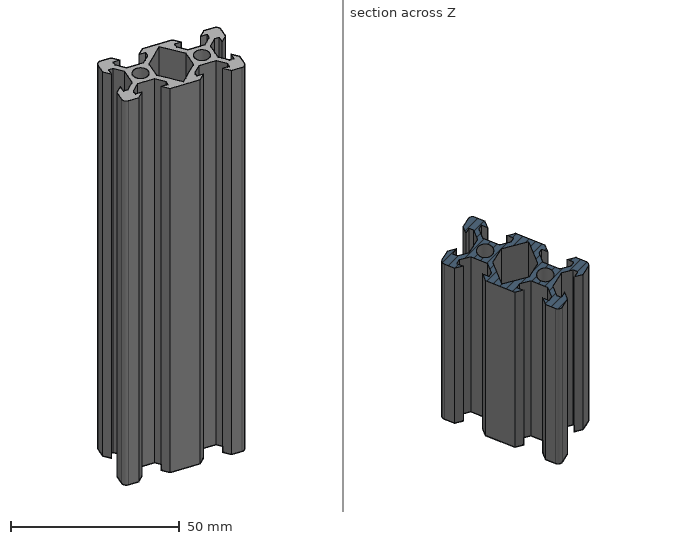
import cadquery as cq
import math

MODULE = 20.0
MODULE_COUNT = 2
LENGTH = 150.0
CORNER_RADIUS = 1.5

CORE_HALF = 4.0
BORE_DIAMETER = 5.0
RIB_THICKNESS = 1.75
POCKET_HALF = 5.3
MOUTH_HALF = 5.1
LIP_DEPTH = 2.0

HALF_MODULE = MODULE / 2
STACK_LENGTH = MODULE * MODULE_COUNT
RIB_OFFSET = RIB_THICKNESS / math.sqrt(2)
FLAT_HALF = CORE_HALF - RIB_OFFSET
THROAT_HALF = MOUTH_HALF - LIP_DEPTH
MODULE_CENTRES = [(i - (MODULE_COUNT - 1) / 2) * MODULE for i in range(MODULE_COUNT)]

FACING_PLUS_X = 0
FACING_MINUS_X = 180
FACING_PLUS_Y = 90
FACING_MINUS_Y = -90


def make_bar():
    """Solid rectangular bar with rounded outer edges."""
    bar = cq.Workplane("XY").rect(MODULE, STACK_LENGTH).extrude(LENGTH)
    return bar.edges("|Z").fillet(CORNER_RADIUS)


def make_slot(centre_y, direction):
    """Full-length V-slot cutter in one face of the module centred at centre_y."""
    lip_back = HALF_MODULE - LIP_DEPTH
    upper_half = [
        (CORE_HALF, FLAT_HALF),
        (POCKET_HALF + RIB_OFFSET, POCKET_HALF),
        (lip_back, POCKET_HALF),
        (lip_back, THROAT_HALF),
        (HALF_MODULE, MOUTH_HALF),
    ]
    lower_half = [(x, -y) for x, y in reversed(upper_half)]
    slot = cq.Workplane("XY").polyline(upper_half + lower_half).close().extrude(LENGTH)
    return slot.rotate((0, 0, 0), (0, 0, 1), direction).translate((0, centre_y, 0))


def make_bore(centre_y):
    """Round bore along the axis of one module."""
    return cq.Workplane("XY").center(0, centre_y).circle(BORE_DIAMETER / 2).extrude(LENGTH)


def make_cavity():
    """Hexagonal cavity between the two cores, bounded by the diagonal ribs."""
    flat_y = HALF_MODULE - CORE_HALF
    point_x = HALF_MODULE - RIB_OFFSET
    outline = [
        (point_x, 0),
        (FLAT_HALF, flat_y),
        (-FLAT_HALF, flat_y),
        (-point_x, 0),
        (-FLAT_HALF, -flat_y),
        (FLAT_HALF, -flat_y),
    ]
    return cq.Workplane("XY").polyline(outline).close().extrude(LENGTH)


result = make_bar().cut(make_cavity())

for module_y in MODULE_CENTRES:
    result = result.cut(make_bore(module_y))
    for side in (FACING_PLUS_X, FACING_MINUS_X):
        result = result.cut(make_slot(module_y, side))

result = result.cut(make_slot(MODULE_CENTRES[0], FACING_MINUS_Y))
result = result.cut(make_slot(MODULE_CENTRES[-1], FACING_PLUS_Y))